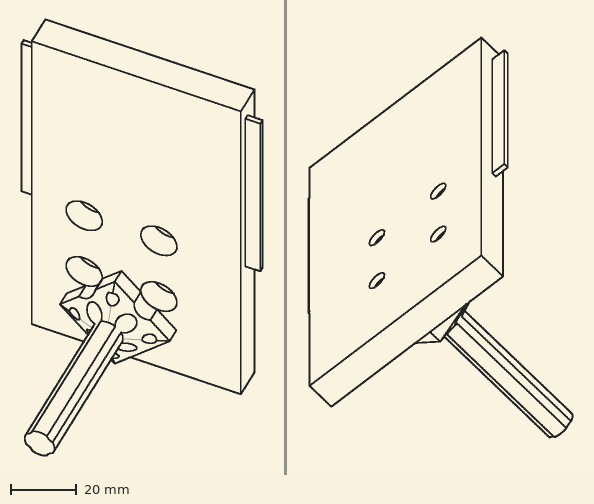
import cadquery as cq
import math

plate_width = 70.0
plate_thickness = 10.0
plate_height = 126.9

overall_width = 80.0
tab_thickness = 1.6
tab_height = 66.2
tab_top_gap = 6.6
tab_center_y = (plate_thickness - tab_thickness) / 2

hole_diameter = 6.1
counterbore_diameter = 12.0
counterbore_depth = 8.0
hole_pitch = 25.0
hole_pattern_x = -5.0
hole_pattern_z = 44.0

handle_x = hole_pattern_x
handle_z = hole_pattern_z - hole_pitch
foot_half_diagonal = 18.4
foot_thickness = 5.0
taper_length = 5.0
stem_diameter = 10.0
handle_length = 60.0

foot_hole_diameter = 4.0
foot_hole_radius = hole_pitch / 2
flute_diameter = 6.0
flute_radius = 7.5


def polar_points(radius, start_angle):
    """Four points at quarter turns around the local origin."""
    angles = [math.radians(start_angle + 90 * i) for i in range(4)]
    return [(radius * math.cos(a), radius * math.sin(a)) for a in angles]


def front_plane(x, z, y=0.0):
    """Plane facing -Y, with local x along X and local y along Z."""
    return cq.Plane(origin=(x, y, z), xDir=(1, 0, 0), normal=(0, -1, 0))


def front_cylinders(plane, points, diameter, length):
    """Cylinders that start on the plane; a negative length runs toward +Y."""
    return cq.Workplane(plane).pushPoints(points).circle(diameter / 2).extrude(length)


pattern_plane = front_plane(hole_pattern_x, hole_pattern_z)
pattern_points = polar_points(hole_pitch / math.sqrt(2), 45)


def make_plate():
    plate = cq.Workplane("XY").box(
        plate_width, plate_thickness, plate_height, centered=(True, False, False)
    )
    tab_center_z = plate_height - tab_top_gap - tab_height / 2
    tabs = cq.Workplane("XY").box(overall_width, tab_thickness, tab_height)
    plate = plate.union(tabs.translate((0, tab_center_y, tab_center_z)))
    plate = plate.cut(front_cylinders(pattern_plane, pattern_points, hole_diameter, -plate_thickness))
    return plate.cut(
        front_cylinders(pattern_plane, pattern_points, counterbore_diameter, -counterbore_depth)
    )


def make_taper():
    """Ruled transition from the diamond to the stem circle, corner to quarter point."""
    base_plane = front_plane(handle_x, handle_z, -foot_thickness)
    tip_plane = front_plane(handle_x, handle_z, -foot_thickness - taper_length)
    diamond = cq.Workplane(base_plane).polyline(polar_points(foot_half_diagonal, 0)).close()
    quarters = polar_points(stem_diameter / 2, 0)
    middles = polar_points(stem_diameter / 2, 45)
    circle = cq.Workplane(tip_plane).moveTo(*quarters[0])
    for i in range(4):
        circle = circle.threePointArc(middles[i], quarters[(i + 1) % 4])
    wires = [diamond.val(), circle.wire().val()]
    return cq.Workplane(cq.Solid.makeLoft(wires, True))


def make_handle():
    plane = front_plane(handle_x, handle_z)
    foot = cq.Workplane(plane).polyline(polar_points(foot_half_diagonal, 0)).close().extrude(foot_thickness)
    stem = front_cylinders(plane, [(0, 0)], stem_diameter, handle_length)
    handle = foot.union(make_taper()).union(stem)
    handle = handle.cut(
        front_cylinders(plane, polar_points(foot_hole_radius, 0), foot_hole_diameter, handle_length)
    )
    handle = handle.cut(
        front_cylinders(plane, polar_points(flute_radius, 45), flute_diameter, handle_length)
    )
    return handle.cut(
        front_cylinders(pattern_plane, pattern_points, counterbore_diameter, handle_length)
    )


plate = make_plate()
handle = make_handle()

result = cq.Compound.makeCompound([plate.val(), handle.val()])